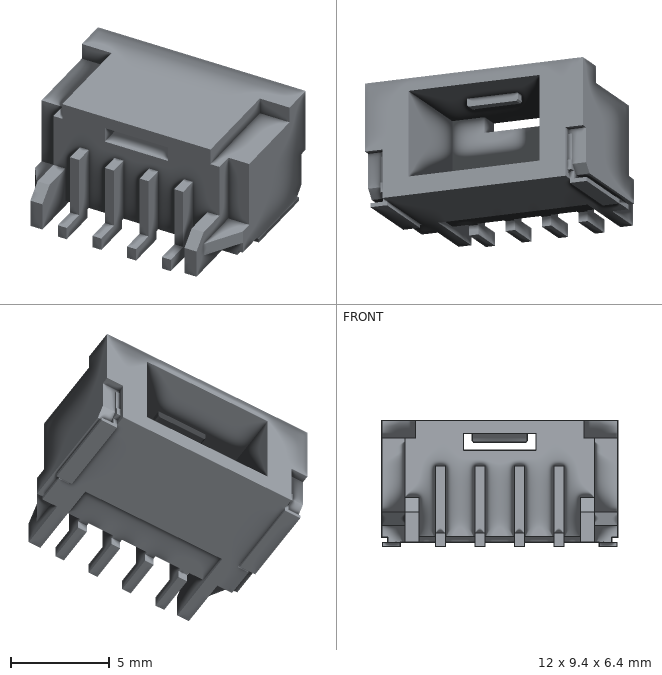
import cadquery as cq


width = 12.0
half_width = width / 2
height = 6.4
body_depth = 6.95
body_bottom = 0.22

shoulder_width = 1.72
shoulder_drop = 0.9
shoulder_start = 1.72
corner_width = 1.2
corner_start = 6.0
corner_front = 6.68
corner_floor = 1.76

roof_thickness = 0.67
cavity_roof = height - roof_thickness
cavity_half_width = half_width - shoulder_width - roof_thickness
front_wall = 1.2
relief_height = 0.3
cavity_floor = body_bottom + relief_height + roof_thickness
window_width = 3.66
window_height = 0.83

hook_width = 2.81
hook_drop = 0.43
hook_lean = 0.06
hook_thickness = 0.48
hook_chamfer = 0.08
hook_start = 2.4

skirt_bottom = 0.47
skirt_chamfer = 0.47
recess_depth = 0.42
recess_top = 2.78
recess_width = 0.96
recess_end = 5.1
foot_inset = 0.31

tab_thickness = 0.22
tab_start = 0.6
tab_end = 4.9
tab_inset = 0.05
tab_top = 2.52
tab_edge = 0.34
barb_edge = 0.25
barb_bottom = 0.61
barb_top = 1.13
ramp_bottom = 0.48
ramp_sink = 0.1

arm_width = 0.7
arm_inner = half_width - corner_width - arm_width
arm_end = 9.4
arm_top = 2.5
arm_chamfer_length = 0.77
arm_chamfer_start = arm_end - arm_chamfer_length
wing_bottom = 1.07

pin_count = 4
pin_pitch = 2.0
pin_width = 0.52
pin_top = 4.08
leg_back = 7.12
leg_front = 7.98
foot_end = 9.3
foot_height = 0.7


def box(x_range, depth_range, z_range):
    """Box between X limits, depths behind the mating face, and Z limits."""
    x0, x1 = x_range
    d0, d1 = depth_range
    z0, z1 = z_range
    return cq.Workplane("XY").box(x1 - x0, d1 - d0, z1 - z0, centered=False).translate((x0, -d1, z0))


def side_profile(points, x0, x1):
    """Extrude an outline of (depth, z) points from x0 to x1."""
    outline = [(-depth, z) for depth, z in points]
    return cq.Workplane("YZ", origin=(x0, 0, 0)).polyline(outline).close().extrude(x1 - x0)


def both_sides(shape):
    """Join a shape on the -X side with its mirror image on the +X side."""
    return shape.union(shape.mirror("YZ"))


def make_housing():
    left = -half_width
    housing = box((left, half_width), (0, body_depth), (body_bottom, height))
    shoulder = box(
        (left, left + shoulder_width), (shoulder_start, body_depth), (height - shoulder_drop, height)
    )
    corner = box((left, left + corner_width), (corner_start, body_depth), (corner_floor, height))
    below_corner = box(
        (left, left + corner_width), (corner_front, body_depth), (body_bottom, corner_floor)
    )
    foot_step = box((left, left + foot_inset), (0, corner_front), (body_bottom, skirt_bottom))
    housing = housing.cut(both_sides(shoulder.union(corner).union(below_corner).union(foot_step)))

    cavity = box(
        (-cavity_half_width, cavity_half_width), (0, body_depth - front_wall), (cavity_floor, cavity_roof)
    )
    window = box(
        (-window_width / 2, window_width / 2), (0, body_depth), (cavity_roof - window_height, cavity_roof)
    )
    front_relief = box(
        (-arm_inner, arm_inner), (recess_end, body_depth), (body_bottom, body_bottom + relief_height)
    )
    return housing.cut(cavity).cut(window).cut(front_relief)


def make_side_recess():
    """Clearance under and behind the side skirt, with a small ramped pocket in its inner wall."""
    outer = -half_width
    inner = outer + recess_width
    outline = [
        (0, body_bottom),
        (recess_end, body_bottom),
        (recess_end, skirt_bottom),
        (recess_depth + skirt_chamfer, skirt_bottom),
        (recess_depth, skirt_bottom + skirt_chamfer),
        (recess_depth, recess_top),
        (0, recess_top),
    ]
    ramp = (
        cq.Workplane("XZ", origin=(0, -recess_depth, 0))
        .polyline([(inner, ramp_bottom), (inner + ramp_sink, ramp_bottom), (inner, barb_bottom)])
        .close()
        .extrude(tab_start - recess_depth)
    )
    return side_profile(outline, outer, inner).union(ramp)


def make_tab():
    plate_inner = -half_width + recess_width
    plate_outline = [
        (tab_start, 0),
        (tab_end, 0),
        (tab_end, tab_top),
        (tab_edge, tab_top),
        (tab_edge, barb_top),
        (barb_edge, barb_top),
        (barb_edge, barb_bottom),
        (tab_start, barb_bottom),
    ]
    plate = side_profile(plate_outline, plate_inner - tab_thickness, plate_inner)
    foot = box((-half_width + tab_inset, plate_inner), (tab_start, tab_end), (0, tab_thickness))
    return plate.union(foot)


def make_arm():
    arm_outer = -half_width + corner_width
    arm_outline = [
        (corner_start, body_bottom),
        (arm_end, body_bottom),
        (arm_end, corner_floor),
        (arm_chamfer_start, arm_top),
        (corner_start, arm_top),
    ]
    arm = side_profile(arm_outline, arm_outer, -arm_inner)
    wing = (
        cq.Workplane("XY", origin=(0, 0, wing_bottom))
        .polyline([
            (-half_width, -corner_front),
            (arm_outer, -corner_front),
            (arm_outer, -arm_chamfer_start),
        ])
        .close()
        .extrude(corner_floor - wing_bottom)
    )
    return arm.union(wing)


def make_hook():
    """Latch hook whose tip leans toward the front wall."""
    hook_end = hook_start + hook_thickness
    outline = [
        (hook_start, cavity_roof),
        (hook_end, cavity_roof),
        (hook_end + hook_lean, cavity_roof - hook_drop),
        (hook_start, cavity_roof - hook_drop),
    ]
    hook = side_profile(outline, -hook_width / 2, hook_width / 2)
    bottom_side_edges = hook.faces("<Z").edges("|Y")
    return bottom_side_edges.chamfer(hook_chamfer)


def make_pin(x):
    relief_top = body_bottom + relief_height
    outline = [
        (body_depth, pin_top),
        (leg_front, pin_top),
        (leg_front, foot_height),
        (foot_end, foot_height),
        (foot_end, 0),
        (leg_back, 0),
        (leg_back, relief_top),
        (body_depth, relief_top),
    ]
    return side_profile(outline, x - pin_width / 2, x + pin_width / 2)


result = make_housing().cut(both_sides(make_side_recess()))
result = result.union(both_sides(make_tab())).union(both_sides(make_arm())).union(make_hook())
for index in range(pin_count):
    pin_x = (index - (pin_count - 1) / 2) * pin_pitch
    result = result.union(make_pin(pin_x))